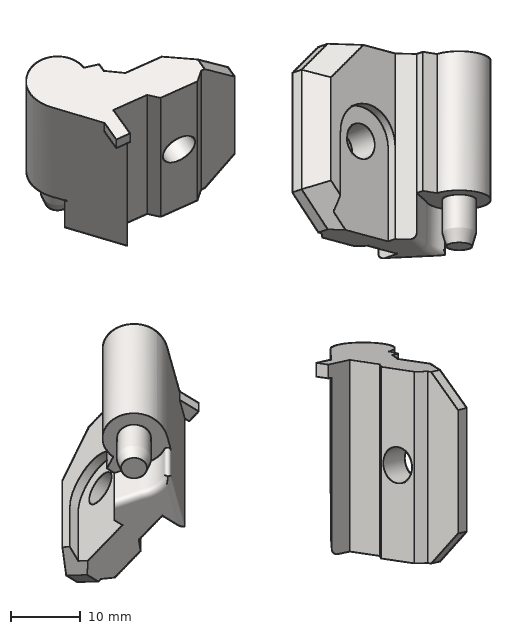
import cadquery as cq
import math

height = 28.0

barrel_radius = 4.52
pin_radius = 4.9 / 2
pin_tip_radius = 1.85
pin_taper = 2.05
barrel_bottom = 7.02

blend_start_angle = -80
blend_radius = 6.0
slope_angle = 40

plate_left = 3.48
plate_right = 8.5
plate_front = 9.22
plate_back = 24.48
corner_cut = 5.0
bevel = 3.0

hole_y = 14.45
hole_z = height / 2
hole_diameter = 5.3
pocket_radius = hole_y - plate_front
pocket_depth = 1.5
ridge_height = 1.42
ridge_half_width = 4.47

step_y = 6.73
step_left = 0.25
step_right = 1.62
step_foot_x = -0.3

tab_right = 13.37
tab_front = 2.15
tab_back = 4.4
tab_height = 2.03

notch_radius = 4.8
notch_flat_end_x = 3.62
notch_edge_radius = 0.5
bottom_fillet = 1.0


def polar(radius, angle):
    """Point at a radius and an angle in degrees about the barrel axis."""
    turn = math.radians(angle)
    return (radius * math.cos(turn), radius * math.sin(turn))


def on_circle(radius, x):
    """Upper point of a circle about the barrel axis at a given X."""
    return (x, math.sqrt(radius**2 - x**2))


def move(point, distance, angle):
    step = polar(distance, angle)
    return (point[0] + step[0], point[1] + step[1])


slope_normal = slope_angle - 90
blend_start = polar(barrel_radius, blend_start_angle)
blend_centre = polar(barrel_radius - blend_radius, blend_start_angle)
blend_middle = move(blend_centre, blend_radius, (blend_start_angle + slope_normal) / 2)
slope_start = move(blend_centre, blend_radius, slope_normal)


def on_slope(y):
    """Point of the sloped wall at a given Y."""
    x = slope_start[0] + (y - slope_start[1]) / math.tan(math.radians(slope_angle))
    return (x, y)


wall_tip = on_slope(tab_back)
notch_flat_end = on_circle(notch_radius, notch_flat_end_x)

slope_distance = (slope_start[0] * math.cos(math.radians(slope_normal))
                  + slope_start[1] * math.sin(math.radians(slope_normal)))
edge_centre_radius = notch_radius + notch_edge_radius
edge_offset = math.acos((slope_distance - notch_edge_radius) / edge_centre_radius)
edge_angle = slope_normal + math.degrees(edge_offset)
edge_centre = polar(edge_centre_radius, edge_angle)
edge_start = polar(notch_radius, edge_angle)
edge_end = move(edge_centre, notch_edge_radius, slope_normal)
edge_middle = move(edge_centre, notch_edge_radius, (edge_angle - 180 + slope_normal) / 2)
notch_start_angle = math.degrees(math.acos(notch_flat_end_x / notch_radius))
notch_middle_angle = (notch_start_angle + edge_angle) / 2


def add_back_outline(sketch):
    """Continue an outline from the wall tip around the plate to the step."""
    ridge_right = plate_right + ridge_height
    ridge_half_top = ridge_half_width - ridge_height
    return (
        sketch.lineTo(plate_right, tab_back)
        .lineTo(plate_right, hole_y - ridge_half_width)
        .lineTo(ridge_right, hole_y - ridge_half_top)
        .lineTo(ridge_right, hole_y + ridge_half_top)
        .lineTo(plate_right, hole_y + ridge_half_width)
        .lineTo(plate_right, plate_back)
        .lineTo(plate_left, plate_back)
        .lineTo(plate_left, plate_front)
        .lineTo(step_right, step_y)
    )


def upper_body():
    outline = (
        cq.Workplane("XY", origin=(0, 0, barrel_bottom))
        .moveTo(*on_circle(barrel_radius, step_foot_x))
        .threePointArc((-barrel_radius, 0), blend_start)
        .threePointArc(blend_middle, slope_start)
        .lineTo(*wall_tip)
    )
    outline = add_back_outline(outline).lineTo(step_left, step_y).close()
    return outline.extrude(height - barrel_bottom)


def lower_body():
    outline = (
        cq.Workplane("XY")
        .moveTo(step_right, step_y)
        .lineTo(*notch_flat_end)
        .threePointArc(polar(notch_radius, notch_middle_angle), edge_start)
        .threePointArc(edge_middle, edge_end)
        .lineTo(*wall_tip)
    )
    return add_back_outline(outline).close().extrude(barrel_bottom)


def bottom_rounding_blocks():
    """Two oversized blocks, rounded below along the notch wall and along the slope."""
    far = 2 * plate_back
    notch_slope = (step_y - notch_flat_end[1]) / (step_right - notch_flat_end_x)
    notch_block = (
        cq.Workplane("XY")
        .moveTo(-far, step_y - notch_slope * (far + step_right))
        .lineTo(*notch_flat_end)
        .threePointArc((notch_radius, 0), (notch_flat_end_x, -notch_flat_end[1]))
        .lineTo(far, -notch_flat_end[1])
        .lineTo(far, far)
        .close()
        .extrude(barrel_bottom)
    )
    slope_low_end = move(slope_start, -far, slope_angle)
    slope_high_end = move(slope_start, far, slope_angle)
    slope_block = (
        cq.Workplane("XY")
        .polyline([slope_low_end, slope_high_end, (-far, far)])
        .close()
        .extrude(barrel_bottom)
    )
    flat_direction = cq.Vector(1, notch_slope, 0)
    notch_bottom = notch_block.faces("<Z")
    notch_block = (
        notch_bottom.edges(cq.selectors.ParallelDirSelector(flat_direction))
        .add(notch_bottom.edges("%CIRCLE"))
        .fillet(bottom_fillet)
    )
    slope_block = (
        slope_block.edges(cq.selectors.NearestToPointSelector((*slope_start, 0)))
        .fillet(bottom_fillet)
    )
    return notch_block, slope_block


def trim_plate(body):
    """Cut the two back corners at 45 degrees and bevel the three back sides."""
    for side in (-1, 1):
        corner_z = hole_z + side * height / 2
        corner = (
            cq.Workplane("YZ")
            .polyline([
                (plate_back, corner_z),
                (plate_back - corner_cut, corner_z),
                (plate_back, corner_z - side * corner_cut),
            ])
            .close()
            .extrude(tab_right)
        )
        body = body.cut(corner)
        cut_middle_y = plate_back - corner_cut / 2
        cut_middle_z = corner_z - side * corner_cut / 2
        body = body.cut(bevel_prism(cut_middle_y, cut_middle_z, side * 45))
    return body.cut(bevel_prism(plate_back, hole_z, 0))


def bevel_prism(y, z, tilt):
    """Long prism removing the left edge of a side through (y, z), tilted about X."""
    return (
        cq.Workplane("XY")
        .polyline([(plate_left, 0), (plate_left, -bevel), (plate_left + bevel, 0)])
        .close()
        .extrude(height, both=True)
        .rotate((0, 0, 0), (1, 0, 0), tilt)
        .translate((0, y, z))
    )


def hole_and_pocket():
    hole = (
        cq.Workplane("YZ")
        .center(hole_y, hole_z)
        .circle(hole_diameter / 2)
        .extrude(tab_right)
    )
    pocket = (
        cq.Workplane("YZ", origin=(plate_left, 0, 0))
        .moveTo(hole_y - pocket_radius, 0)
        .lineTo(hole_y - pocket_radius, hole_z)
        .threePointArc((hole_y, hole_z + pocket_radius), (hole_y + pocket_radius, hole_z))
        .lineTo(hole_y + pocket_radius, 0)
        .close()
        .extrude(pocket_depth)
    )
    return hole.union(pocket)


def tab():
    tab_left = on_slope(tab_front)[0]
    return (
        cq.Workplane("XY", origin=(0, 0, height - tab_height))
        .polyline([
            (plate_right, tab_back),
            (tab_right, tab_back),
            (tab_right, tab_front),
            (tab_left, tab_front),
        ])
        .close()
        .extrude(tab_height)
    )


def pin():
    return (
        cq.Workplane("XZ")
        .polyline([
            (0, 0),
            (pin_tip_radius, 0),
            (pin_radius, pin_taper),
            (pin_radius, barrel_bottom),
            (0, barrel_bottom),
        ])
        .close()
        .revolve(360, (0, 0), (0, 1))
    )


foot = lower_body()
for rounded_block in bottom_rounding_blocks():
    foot = foot.intersect(rounded_block)

body = trim_plate(upper_body().union(foot)).cut(hole_and_pocket())
result = body.union(pin()).union(tab())